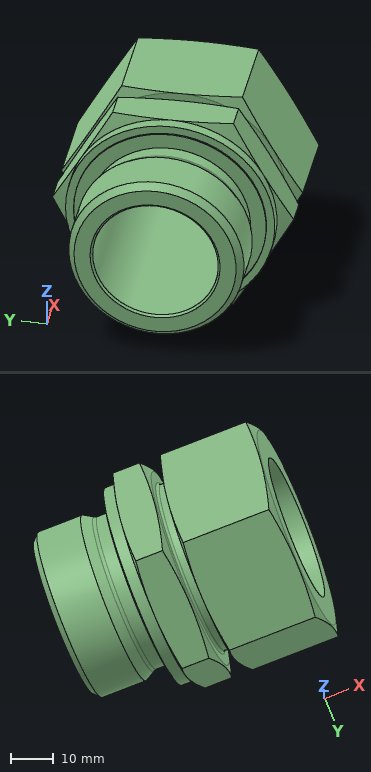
import cadquery as cq
import math

length = 59.0
across_flats = 50.0
hex_corner_radius = across_flats / math.sqrt(3)
flange_face_x = 20.1
hex_start_x = 23.0
hex_end_x = 32.05
nut_start_x = 35.05

bevel_angle = 15.0
bevel_slope = math.tan(math.radians(bevel_angle))
hex_end_radius = 24.4
nut_end_radius = 24.6

stud_radius = 20.95
stud_chamfer = 1.6
stud_end_x = 12.7
neck_radius = 19.3
runout_angle = 30.0
runout_fillet = 1.75
flange_radius = across_flats / 2

bore_radius = 15.0
bore_chamfer = 0.55
spigot_radius = stud_radius
spigot_root_fillet = 0.65
spigot_end_x = 50.15

seal_radius = 23.0
seal_proud = 0.5
seal_recess = 1.5
seal_start_x = flange_face_x - seal_proud
seal_end_x = flange_face_x + seal_recess

tube_hole_radius = 17.5


def disc(start_x, end_x, radius):
    """Solid cylinder about X between two stations."""
    return cq.Workplane("YZ").workplane(offset=start_x).circle(radius).extrude(end_x - start_x)


def revolve_profile(profile):
    """Revolve an outline drawn as (x, radius) about the X axis."""
    return profile.close().revolve(360, (0, 0, 0), (1, 0, 0))


def bevelled_hexagon(start_x, end_x, start_radius, end_radius):
    """Hexagonal prism with flats facing +Z and -Z and conical bevels on both ends."""
    prism = (
        cq.Workplane("YZ")
        .workplane(offset=start_x)
        .polygon(6, 2 * hex_corner_radius)
        .extrude(end_x - start_x)
    )
    start_bevel = (hex_corner_radius - start_radius) * bevel_slope
    end_bevel = (hex_corner_radius - end_radius) * bevel_slope
    envelope = revolve_profile(
        cq.Workplane("XY")
        .moveTo(start_x, 0)
        .lineTo(start_x, start_radius)
        .lineTo(start_x + start_bevel, hex_corner_radius)
        .lineTo(end_x - end_bevel, hex_corner_radius)
        .lineTo(end_x, end_radius)
        .lineTo(end_x, 0)
    )
    return prism.intersect(envelope)


def make_stud():
    """Threaded end: chamfered cylinder, conical run-out blended into the neck."""
    runout = math.radians(runout_angle)
    neck_corner_x = stud_end_x + (stud_radius - neck_radius) / math.tan(runout)
    tangent = runout_fillet * math.tan(runout / 2)
    cone_end = (neck_corner_x - tangent * math.cos(runout), neck_radius + tangent * math.sin(runout))
    neck_start = (neck_corner_x + tangent, neck_radius)
    blend_middle = (
        neck_start[0] - runout_fillet * math.sin(runout / 2),
        neck_radius + runout_fillet * (1 - math.cos(runout / 2)),
    )
    return revolve_profile(
        cq.Workplane("XY")
        .lineTo(0, stud_radius - stud_chamfer)
        .lineTo(stud_chamfer, stud_radius)
        .lineTo(stud_end_x, stud_radius)
        .lineTo(*cone_end)
        .threePointArc(blend_middle, neck_start)
        .lineTo(flange_face_x, neck_radius)
        .lineTo(flange_face_x, 0)
    )


def make_spigot():
    """Cylinder entering the nut, with a concave fillet at the hexagon."""
    root_middle = (
        hex_end_x + spigot_root_fillet * (1 - math.sqrt(0.5)),
        spigot_radius + spigot_root_fillet * (1 - math.sqrt(0.5)),
    )
    return revolve_profile(
        cq.Workplane("XY")
        .moveTo(hex_end_x, 0)
        .lineTo(hex_end_x, spigot_radius + spigot_root_fillet)
        .threePointArc(root_middle, (hex_end_x + spigot_root_fillet, spigot_radius))
        .lineTo(spigot_end_x, spigot_radius)
        .lineTo(spigot_end_x, 0)
    )


def make_bore():
    """Through bore with a chamfered mouth at the stud end."""
    return revolve_profile(
        cq.Workplane("XY")
        .lineTo(0, bore_radius + bore_chamfer)
        .lineTo(bore_chamfer, bore_radius)
        .lineTo(spigot_end_x, bore_radius)
        .lineTo(spigot_end_x, 0)
    )


def make_seal():
    """Flat ring around the neck."""
    return disc(seal_start_x, seal_end_x, seal_radius).cut(disc(seal_start_x, seal_end_x, neck_radius))


def make_fitting(seal):
    """Stud, flange, hexagon and spigot in one piece, bored through and recessed for the seal."""
    flange = disc(flange_face_x, hex_start_x, flange_radius)
    hexagon = bevelled_hexagon(hex_start_x, hex_end_x, flange_radius, hex_end_radius)
    blank = make_stud().union(flange).union(hexagon).union(make_spigot())
    return blank.cut(make_bore()).cut(seal)


def make_nut():
    """Hexagon nut closing over the spigot, with a tube hole at the far end."""
    blank = bevelled_hexagon(nut_start_x, length, flange_radius, nut_end_radius)
    spigot_pocket = disc(nut_start_x, spigot_end_x, spigot_radius)
    return blank.cut(spigot_pocket).cut(disc(spigot_end_x, length, tube_hole_radius))


seal = make_seal()
fitting = make_fitting(seal)
nut = make_nut()

result = cq.Compound.makeCompound([fitting.val(), seal.val(), nut.val()])